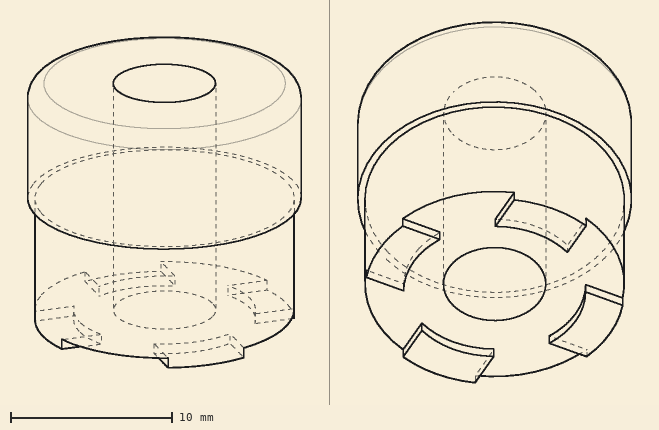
import cadquery as cq

cap_diameter = 17.0
skirt_diameter = 16.1
bore_diameter = 6.35
total_height = 15.8
skirt_height = 8.13
cap_height = total_height - skirt_height
top_edge_radius = 1.0

foot_height = 0.65
foot_width = 5.0
foot_ring_inner_diameter = 11.3


def make_body():
    """Skirt with a wider cap on top, its upper rim rounded."""
    skirt = (
        cq.Workplane("XY")
        .workplane(offset=foot_height)
        .circle(skirt_diameter / 2)
        .extrude(skirt_height - foot_height)
    )
    cap = (
        cq.Workplane("XY")
        .workplane(offset=skirt_height)
        .circle(cap_diameter / 2)
        .extrude(cap_height)
        .faces(">Z")
        .edges()
        .fillet(top_edge_radius)
    )
    return skirt.union(cap)


def make_feet():
    """Parallel-sided pieces of a ring, one on each of the +X, -X, +Y and -Y sides.

    The ring runs up to the cap so that the feet overlap the body they join.
    """
    ring = (
        cq.Workplane("XY")
        .circle(skirt_diameter / 2)
        .circle(foot_ring_inner_diameter / 2)
        .extrude(skirt_height)
    )
    cross = (
        cq.Workplane("XY")
        .rect(skirt_diameter, foot_width)
        .extrude(skirt_height)
        .union(cq.Workplane("XY").rect(foot_width, skirt_diameter).extrude(skirt_height))
    )
    return ring.intersect(cross)


def make_bore():
    """Cutter for the central hole through the full height."""
    return cq.Workplane("XY").circle(bore_diameter / 2).extrude(total_height)


result = make_body().union(make_feet()).cut(make_bore())